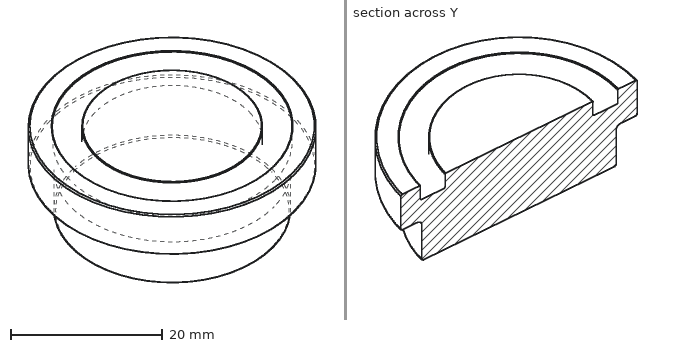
import cadquery as cq

flange_diameter = 38.1
total_height = 14.2
flange_height = 6.7
spigot_diameter = 31.35

groove_outer_diameter = 31.75
island_diameter = 23.9
groove_depth = 2.7

edge_chamfer = 0.23
groove_rim_chamfer = 0.1
groove_floor_fillet = 0.2
neck_fillet = 0.75

flange_bottom = total_height - flange_height
groove_floor = total_height - groove_depth


def cylinder(diameter, bottom, height):
    """Cylinder on the Z axis, standing on the given level."""
    return cq.Workplane("XY").workplane(offset=bottom).circle(diameter / 2).extrude(height)


flange = cylinder(flange_diameter, flange_bottom, flange_height).edges().chamfer(edge_chamfer)

spigot = cylinder(spigot_diameter, 0, flange_bottom).faces("<Z").edges().chamfer(edge_chamfer)

spigot_radius = spigot_diameter / 2
neck = (
    cq.Workplane("XZ")
    .moveTo(spigot_radius, flange_bottom - neck_fillet)
    .radiusArc((spigot_radius + neck_fillet, flange_bottom), neck_fillet)
    .lineTo(spigot_radius - neck_fillet, flange_bottom)
    .lineTo(spigot_radius - neck_fillet, flange_bottom - neck_fillet)
    .close()
    .revolve(360, (0, 0, 0), (0, 1, 0))
)

groove = (
    cylinder(groove_outer_diameter, groove_floor, groove_depth)
    .cut(cylinder(island_diameter, groove_floor, groove_depth))
    .faces("<Z")
    .edges()
    .fillet(groove_floor_fillet)
)

body = flange.union(spigot).union(neck).cut(groove)

groove_rims = body.faces(">Z").edges().filter(lambda edge: edge.radius() <= groove_outer_diameter / 2)
result = groove_rims.chamfer(groove_rim_chamfer)